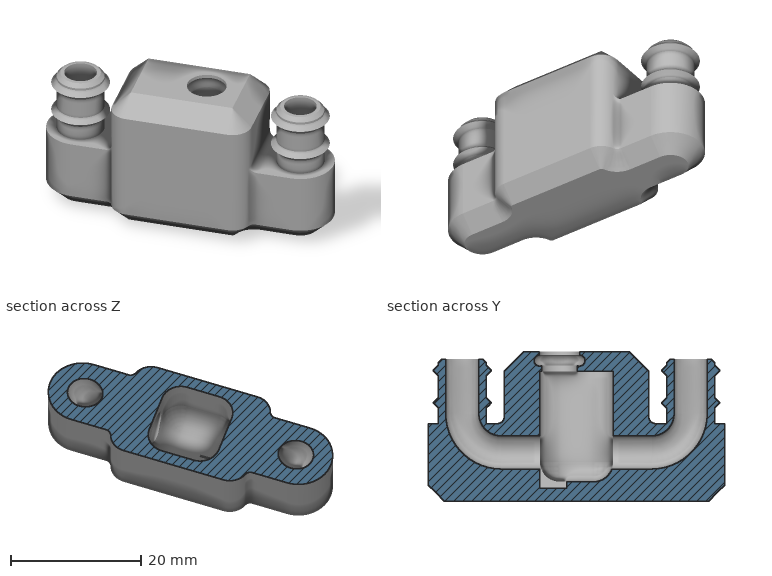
import cadquery as cq
import math

body_length = 22.3
body_width = 16.0
body_height = 23.0
corner_radius = 3.0
wall = corner_radius
edge_gap = 0.0005
bottom_chamfer = 2.5

length = 45.75
arm_radius = 5.3
arm_height = 12.0
blend_radius = 1.0

port_x = length / 2 - arm_radius
port_radius = 3.7
port_top = 21.9
port_overlap = 0.45
tip_chamfer = 0.6
barb_rise = 0.82
barb_heights = (15.15, 20.15)

bore_radius = 2.5
bend_radius = 6.0
channel_height = 7.5

chamber_length = 11.25
chamber_width = 12.1
flat_floor_end = chamber_length / 2 - corner_radius
chamber_height = body_height - 2 * wall

slot_start = 1.55
slot_end = chamber_length / 2
slot_width = 0.45
slot_depth = 1.0

hole_x = flat_floor_end
hole_radius = 3.05
throat_radius = 2.7
lip_depth = 0.55
groove_radius = 0.82


def make_housing():
    """Block with a round-ended arm on each side, blended and chamfered below."""
    block = (
        cq.Workplane("XY")
        .rect(body_length, body_width)
        .extrude(body_height)
        .edges("|Z")
        .fillet(corner_radius)
        .faces(">Z")
        .chamfer(corner_radius - edge_gap)
    )
    arms = cq.Workplane("XY").slot2D(length, 2 * arm_radius).extrude(arm_height)

    margin = 0.45
    reach_x = body_length / 2 + margin
    reach_y = arm_radius + margin
    joints = cq.selectors.BoxSelector(
        (-reach_x, -reach_y, margin),
        (reach_x, reach_y, arm_height + margin),
    )
    blended = block.union(arms).edges(joints).fillet(blend_radius)
    return blended.faces("<Z").chamfer(bottom_chamfer)


def make_port(side):
    """Solid barbed tube on one arm; side is -1 or 1."""
    base = arm_height - port_overlap
    profile = cq.Workplane("XZ").moveTo(0, base).lineTo(port_radius, base)
    for height in barb_heights:
        profile = (
            profile.lineTo(port_radius, height - barb_rise)
            .lineTo(port_radius + barb_rise, height)
            .lineTo(port_radius, height + barb_rise)
        )
    profile = (
        profile.lineTo(port_radius, port_top - tip_chamfer)
        .lineTo(port_radius - tip_chamfer, port_top)
        .lineTo(0, port_top)
        .close()
    )
    return profile.revolve(360, (0, 0), (0, 1)).translate((side * port_x, 0, 0))


def make_channel(side):
    """Round bore that drops down one port and bends inward to the chamber."""
    path = (
        cq.Workplane("XZ")
        .moveTo(side * port_x, port_top)
        .lineTo(side * port_x, channel_height + bend_radius)
        .radiusArc((side * (port_x - bend_radius), channel_height), side * bend_radius)
        .lineTo(side * flat_floor_end, channel_height)
    )
    mouth = cq.Workplane("XY", origin=(side * port_x, 0, port_top)).circle(bore_radius)
    return mouth.sweep(path)


def make_chamber():
    """Cavity with rounded upright corners and a rounded floor edge."""
    return (
        cq.Workplane("XY", origin=(0, 0, wall))
        .rect(chamber_length, chamber_width)
        .extrude(chamber_height)
        .edges("|Z")
        .fillet(corner_radius - edge_gap)
        .faces("<Z")
        .edges()
        .fillet(corner_radius - 2 * edge_gap)
    )


def make_floor_slot():
    """Narrow slot running toward +X in the chamber floor."""
    return cq.Workplane("XY").box(
        slot_end - slot_start,
        slot_width,
        slot_depth + corner_radius,
        centered=(False, True, False),
    ).translate((slot_start, 0, wall - slot_depth))


def make_sensor_hole():
    """Stepped hole whose two radii meet in a groove of circular section."""
    groove_z = body_height - lip_depth - groove_radius
    groove_inset = hole_radius - throat_radius
    throat_z = groove_z - math.sqrt(groove_radius**2 - groove_inset**2)
    hole_bottom = body_height - 1.5 * wall
    profile = (
        cq.Workplane("XZ")
        .moveTo(0, body_height)
        .lineTo(hole_radius, body_height)
        .lineTo(hole_radius, body_height - lip_depth)
        .threePointArc((hole_radius + groove_radius, groove_z), (throat_radius, throat_z))
        .lineTo(throat_radius, hole_bottom)
        .lineTo(0, hole_bottom)
        .close()
    )
    return profile.revolve(360, (0, 0), (0, 1)).translate((hole_x, 0, 0))


result = make_housing()
sides = (-1, 1)
for side in sides:
    result = result.union(make_port(side))
for side in sides:
    result = result.cut(make_channel(side))
result = result.cut(make_chamber()).cut(make_floor_slot()).cut(make_sensor_hole())